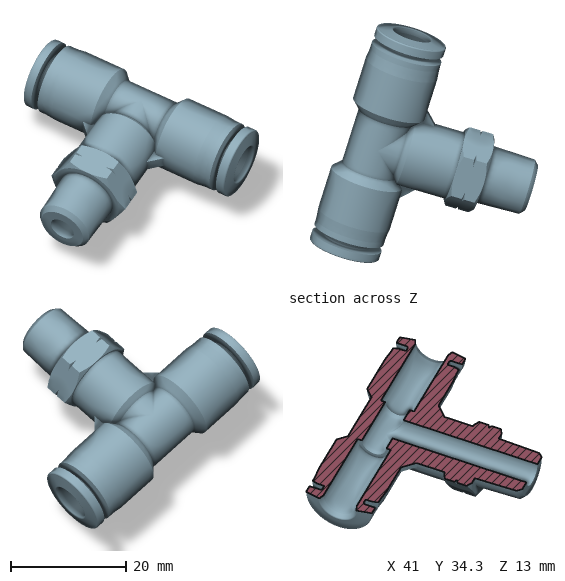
import cadquery as cq
import math


run_half_length = 20.5
overall_depth = 34.3
body_radius = 13.0 / 2
branch_length = overall_depth - body_radius
flow_radius = 2.3

run_radius = 5.0
shoulder_start = run_radius
shoulder_end = shoulder_start + body_radius - run_radius
body_taper_start = 14.15
cap_start = 16.15
cap_radius = 12.6 / 2
cap_edge = 17.18
cap_end = 17.45
cap_face_radius = 5.2

neck_radius = 3.98
neck_chamfer = 0.2
flange_back = 18.45
flange_front = 19.85
flange_radius = cap_radius
flange_round_radius = 6.0
flange_round_end = 20.05
mouth_radius = 3.65
mouth_round = 0.25
lead_in_length = 0.75
socket_radius = 3.1
socket_floor = shoulder_start

stem_radius = 12.0 / 2
stem_shoulder_end = 5.05
stem_shoulder_start = stem_shoulder_end - (stem_radius - run_radius)
hex_start = 13.9
hex_length = 5.35
hex_end = hex_start + hex_length
hex_across_flats = 12.8
hex_chamfer_angle = 30.0
groove_depth = 0.57
groove_half_width = 0.25

thread_root_radius = 5.15
thread_taper = 1 / 32
thread_chamfer = 0.78

gusset_thickness = 2.15
gusset_reach = 14.5
gusset_base = 5.75
gusset_tip = 5.75


def turned_along_branch(outline):
    """Revolve a closed (radius, distance from the run axis) outline about the branch axis."""
    points = [(radius, -distance) for radius, distance in outline]
    return cq.Workplane("XY").polyline(points).close().revolve(360, (0, 0, 0), (0, 1, 0))


def run_half():
    """Solid of the +X half of the run, with its release ring."""
    rim_drop = flange_radius - flange_round_radius
    rim_mid = (
        flange_front + (flange_round_end - flange_front) * math.sin(math.pi / 4),
        flange_round_radius + rim_drop * math.cos(math.pi / 4),
    )
    profile = (
        cq.Workplane("XY")
        .moveTo(0, 0)
        .lineTo(0, run_radius)
        .lineTo(shoulder_start, run_radius)
        .lineTo(shoulder_end, body_radius)
        .lineTo(body_taper_start, body_radius)
        .lineTo(cap_start, cap_radius)
        .lineTo(cap_edge, cap_radius)
        .lineTo(cap_end, cap_face_radius)
        .lineTo(cap_end, neck_radius)
        .lineTo(flange_back - neck_chamfer, neck_radius)
        .lineTo(flange_back, neck_radius + neck_chamfer)
        .lineTo(flange_back, flange_radius)
        .lineTo(flange_front, flange_radius)
        .threePointArc(rim_mid, (flange_round_end, flange_round_radius))
        .lineTo(run_half_length, mouth_radius)
        .lineTo(run_half_length, 0)
        .close()
    )
    return profile.revolve(360, (0, 0, 0), (1, 0, 0))


def socket_cut():
    """Tube socket of the +X end, with a rounded mouth and a conical lead-in."""
    lead_in_start = run_half_length - mouth_round
    lead_in_radius = mouth_radius - mouth_round
    arc_offset = mouth_round * math.sin(math.pi / 4)
    mouth_mid = (lead_in_start + arc_offset, mouth_radius - arc_offset)
    profile = (
        cq.Workplane("XY")
        .moveTo(socket_floor, 0)
        .lineTo(socket_floor, socket_radius)
        .lineTo(lead_in_start - lead_in_length, socket_radius)
        .lineTo(lead_in_start, lead_in_radius)
        .threePointArc(mouth_mid, (run_half_length, mouth_radius))
        .lineTo(run_half_length, 0)
        .close()
    )
    return profile.revolve(360, (0, 0, 0), (1, 0, 0))


def stem():
    """Branch body from the run axis to the hexagon."""
    return turned_along_branch([
        (0, 0),
        (run_radius, 0),
        (run_radius, stem_shoulder_start),
        (stem_radius, stem_shoulder_end),
        (stem_radius, hex_start),
        (0, hex_start),
    ])


def hexagon():
    """Hexagon with corners on X, both faces chamfered and a V-groove around its corners."""
    flat_radius = hex_across_flats / 2
    corner_radius = flat_radius / math.cos(math.pi / 6)
    prism = (
        cq.Workplane("XZ", origin=(0, -hex_start, 0))
        .polygon(6, 2 * corner_radius)
        .extrude(hex_length)
    )
    chamfer_length = (corner_radius - flat_radius) * math.tan(math.radians(hex_chamfer_angle))
    groove_middle = (hex_start + hex_end) / 2
    envelope = turned_along_branch([
        (0, hex_start),
        (flat_radius, hex_start),
        (corner_radius, hex_start + chamfer_length),
        (corner_radius, groove_middle - groove_half_width),
        (corner_radius - groove_depth, groove_middle),
        (corner_radius, groove_middle + groove_half_width),
        (corner_radius, hex_end - chamfer_length),
        (flat_radius, hex_end),
        (0, hex_end),
    ])
    return prism.intersect(envelope)


def thread():
    """Plain tapered envelope of the male thread, chamfered at its end."""
    chamfer_start = branch_length - thread_chamfer
    tip_radius = thread_root_radius - (chamfer_start - hex_end) * thread_taper
    return turned_along_branch([
        (0, hex_end),
        (thread_root_radius, hex_end),
        (tip_radius, chamfer_start),
        (tip_radius - thread_chamfer, branch_length),
        (0, branch_length),
    ])


def gussets():
    """Flat web whose two sloping corners brace the sleeves against the stem."""
    base_half_width = gusset_reach - gusset_base
    tip_distance = gusset_reach - gusset_tip
    outline = [
        (-base_half_width, -gusset_base),
        (base_half_width, -gusset_base),
        (gusset_tip, -tip_distance),
        (-gusset_tip, -tip_distance),
    ]
    return cq.Workplane("XY").polyline(outline).close().extrude(gusset_thickness / 2, both=True)


def both_ends(half):
    """Join a +X feature with its mirror image at -X."""
    return half.union(half.mirror("YZ"))


run_passage = (
    cq.Workplane("YZ", origin=(-run_half_length, 0, 0))
    .circle(flow_radius)
    .extrude(2 * run_half_length)
)
branch_passage = cq.Workplane("XZ").circle(flow_radius).extrude(branch_length)

body = both_ends(run_half())
for feature in (stem(), hexagon(), thread(), gussets()):
    body = body.union(feature)

right_socket = socket_cut()
for void in (right_socket, right_socket.mirror("YZ"), run_passage, branch_passage):
    body = body.cut(void)

result = body